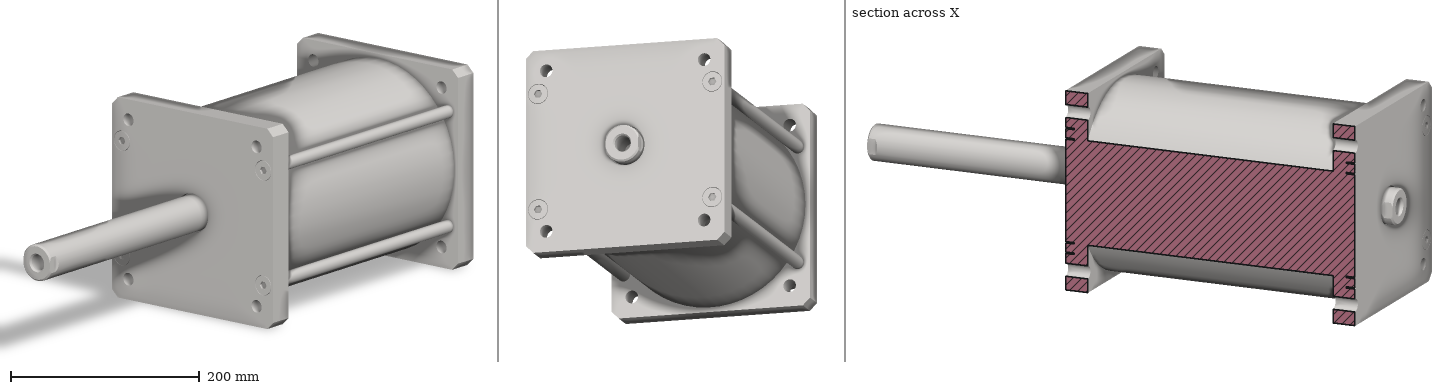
import cadquery as cq
import math


PLATE_SIDE = 220.0
PLATE_THICKNESS = 26.0
PLATE_CORNER_CHAMFER = 8.0
MOUNT_HOLE_DIAMETER = 13.84
MOUNT_HOLE_SPACING = 175.0

BARREL_DIAMETER = 210.0
BARREL_LENGTH = 285.0

TIE_ROD_DIAMETER = 14.0
TIE_ROD_SPACING_X = 193.0
TIE_ROD_SPACING_Z = 126.0
SCREW_HOLE_DIAMETER = 22.0
SCREW_HEAD_DIAMETER = 21.0
SCREW_SOCKET_ACROSS_CORNERS = 9.24
SCREW_SOCKET_DEPTH = 3.0
SCREW_GAP_DEPTH = 10.0

ROD_DIAMETER = 40.0
ROD_FRONT_REACH = 262.0
ROD_REAR_REACH = 12.0
ROD_ACROSS_FLATS = 36.0
ROD_FLAT_LENGTH = 9.5
ROD_FLAT_RUNOUT = 3.0
ROD_END_CHAMFER = 1.8
ROD_BORE_DIAMETER = 43.0
ROD_GAP_DEPTH = 5.0

ROD_HOLE_DIAMETER = 17.29
ROD_HOLE_MOUTH_DIAMETER = 20.25
ROD_HOLE_COUNTERSINK_DEPTH = 2.5
ROD_HOLE_DEPTH = 40.0
ROD_HOLE_TIP_ANGLE = 118.0

FRONT_FACE_Y = 0.0
BARREL_FRONT_Y = FRONT_FACE_Y + PLATE_THICKNESS
BARREL_REAR_Y = BARREL_FRONT_Y + BARREL_LENGTH
REAR_FACE_Y = BARREL_REAR_Y + PLATE_THICKNESS
MIDDLE_Y = (FRONT_FACE_Y + REAR_FACE_Y) / 2
ROD_FRONT_Y = FRONT_FACE_Y - ROD_FRONT_REACH
ROD_REAR_Y = REAR_FACE_Y + ROD_REAR_REACH


def section(start_y):
    """XZ sketch plane at start_y, with its normal along +Y and its local y along +Z."""
    return cq.Workplane(cq.Plane(origin=(0, start_y, 0), xDir=(-1, 0, 0), normal=(0, 1, 0)))


def cylinder(diameter, start_y, end_y):
    return section(start_y).circle(diameter / 2).extrude(end_y - start_y)


def rectangle_points(start_y, spacing_x, spacing_z):
    """The four corners of a centred rectangle on the plane at start_y."""
    return section(start_y).rect(spacing_x, spacing_z, forConstruction=True).vertices()


def end_plate(start_y):
    plate = section(start_y).rect(PLATE_SIDE, PLATE_SIDE).extrude(PLATE_THICKNESS)
    plate = plate.edges("|Y").chamfer(PLATE_CORNER_CHAMFER)
    corners = rectangle_points(start_y, MOUNT_HOLE_SPACING, MOUNT_HOLE_SPACING)
    return plate.cut(corners.circle(MOUNT_HOLE_DIAMETER / 2).extrude(PLATE_THICKNESS))


def at_tie_rods(start_y):
    return rectangle_points(start_y, TIE_ROD_SPACING_X, TIE_ROD_SPACING_Z)


def tie_rods():
    return at_tie_rods(BARREL_FRONT_Y).circle(TIE_ROD_DIAMETER / 2).extrude(BARREL_LENGTH)


def screw_recesses():
    """Ring gap around each front screw head, and the hexagon socket in the head."""
    gaps = at_tie_rods(FRONT_FACE_Y).circle(SCREW_HOLE_DIAMETER / 2).extrude(SCREW_GAP_DEPTH)
    heads = at_tie_rods(FRONT_FACE_Y).circle(SCREW_HEAD_DIAMETER / 2).extrude(SCREW_GAP_DEPTH)
    sockets = at_tie_rods(FRONT_FACE_Y).polygon(6, SCREW_SOCKET_ACROSS_CORNERS).extrude(SCREW_SOCKET_DEPTH)
    return gaps.cut(heads).union(sockets)


def rod_gap():
    """Ring gap between the piston rod and the mouth of its bore in the front plate."""
    gap_end_y = FRONT_FACE_Y + ROD_GAP_DEPTH
    bore = cylinder(ROD_BORE_DIAMETER, FRONT_FACE_Y, gap_end_y)
    return bore.cut(cylinder(ROD_DIAMETER, FRONT_FACE_Y, gap_end_y))


def piston_rod():
    """Rod with a pair of wrench flats at each end, each flat ramping out to the full diameter."""
    rod = cylinder(ROD_DIAMETER, ROD_FRONT_Y, ROD_REAR_Y)
    rod = rod.faces("<Y or >Y").chamfer(ROD_END_CHAMFER)
    for side in (-1, 1):
        flat_x = side * ROD_ACROSS_FLATS / 2
        surface_x = side * ROD_DIAMETER / 2
        for end_y, inward in ((ROD_FRONT_Y, 1), (ROD_REAR_Y, -1)):
            cutter = (
                cq.Workplane("XY", origin=(0, 0, -ROD_DIAMETER / 2))
                .moveTo(surface_x, end_y)
                .lineTo(flat_x, end_y)
                .lineTo(flat_x, end_y + inward * ROD_FLAT_LENGTH)
                .lineTo(surface_x, end_y + inward * (ROD_FLAT_LENGTH + ROD_FLAT_RUNOUT))
                .close()
                .extrude(ROD_DIAMETER)
            )
            rod = rod.cut(cutter)
    return rod


def rod_end_hole(end_y, inward):
    """Countersunk drilled hole that starts at end_y and runs along inward * Y."""
    mouth_radius = ROD_HOLE_MOUTH_DIAMETER / 2
    radius = ROD_HOLE_DIAMETER / 2
    tip_length = radius / math.tan(math.radians(ROD_HOLE_TIP_ANGLE / 2))
    return (
        cq.Workplane("XY")
        .moveTo(0, end_y)
        .lineTo(mouth_radius, end_y)
        .lineTo(radius, end_y + inward * ROD_HOLE_COUNTERSINK_DEPTH)
        .lineTo(radius, end_y + inward * ROD_HOLE_DEPTH)
        .lineTo(0, end_y + inward * (ROD_HOLE_DEPTH + tip_length))
        .close()
        .revolve(360, (0, 0, 0), (0, 1, 0))
    )


body = end_plate(FRONT_FACE_Y).union(end_plate(BARREL_REAR_Y))
body = body.union(cylinder(BARREL_DIAMETER, BARREL_FRONT_Y, BARREL_REAR_Y)).union(tie_rods())
body = body.union(piston_rod())

for recess in (rod_gap(), screw_recesses()):
    body = body.cut(recess)
    body = body.cut(recess.mirror("XZ", (0, MIDDLE_Y, 0)))

body = body.cut(rod_end_hole(ROD_FRONT_Y, 1)).cut(rod_end_hole(ROD_REAR_Y, -1))
result = body